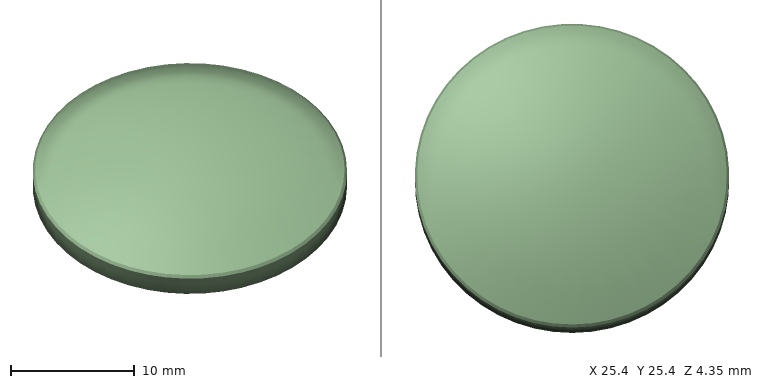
import cadquery as cq

diameter = 25.4
center_thickness = 4.35
dome_base_height = 2.08
bevel = 0.2

radius = diameter / 2
face_radius = radius - bevel

dome_rise = center_thickness - dome_base_height
sphere_radius = (face_radius**2 + dome_rise**2) / (2 * dome_rise)
sphere_center_height = center_thickness - sphere_radius

mid_radius = face_radius / 2
mid_height = sphere_center_height + (sphere_radius**2 - mid_radius**2) ** 0.5

half_section = (
    cq.Workplane("XZ")
    .moveTo(0, 0)
    .lineTo(face_radius, 0)
    .lineTo(radius, bevel)
    .lineTo(radius, dome_base_height - bevel)
    .lineTo(face_radius, dome_base_height)
    .threePointArc((mid_radius, mid_height), (0, center_thickness))
    .close()
)

result = half_section.revolve(360, (0, 0, 0), (0, 1, 0))